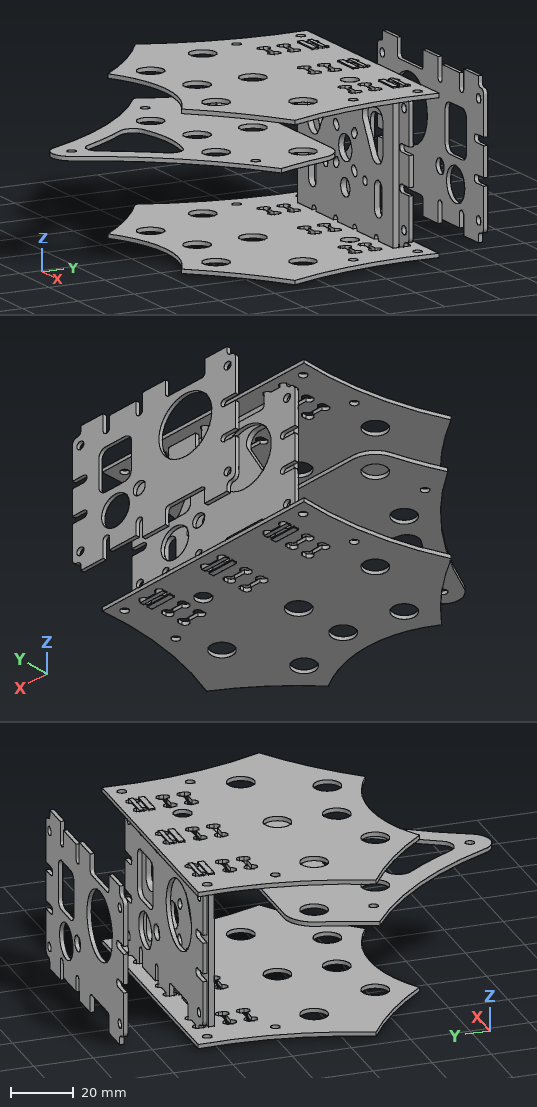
import cadquery as cq
import math


sheet = 1.5
motor_sheet = 2.0
tab_height_half = 27.4
deck_top = 27.0
deck_bottom = deck_top - sheet
screw_d = 3.0
big_hole_d = 9.0

deck_rear_half = 45.29
deck_corner = (54.88, -56.6)
deck_nose_half = 25.4
deck_front_y = -74.3
edge_radius = 130.2
deck_side_radius = 123.3
tip_radius = 7.0
overall_length = 137.0
rear_panel_back_y = 22.0
tip_center = (0, rear_panel_back_y - overall_length + tip_radius)
mid_top = 10.5
mid_corner_x = 50.7
mid_rear_radius = 10.1
window_rim = 7.1
window_rear_radius = 47.3
window_rear_fillet = 4.5
window_front_fillet = 4.5

rear_hole_x = 34.4
rear_hole_y = -43.0
big_holes = [(x, rear_hole_y) for x in (-rear_hole_x, 0, rear_hole_x)]
big_holes += [(0, -63.0), (-22.5, -68.0), (22.5, -68.0)]
deck_screws = [(x, y) for x in (-40.0, 40.0) for y in (-5.0, -28.0)]
cable_hole = (16.92, -17.1)
cable_hole_d = 6.0
mid_screws = [tip_center, (-38.0, -61.8), (38.0, -61.8)]

panel_y = -5.41
motor_y = -8.9
rear_panel_y = rear_panel_back_y - sheet / 2
dogbone_rows = (panel_y, -15.6, -22.7)
tab_outer = 32.9
outer_tab = 10.1
center_tab = 10.4
outer_tab_x = tab_outer - outer_tab / 2
tabs = [(-outer_tab_x, outer_tab), (0, center_tab), (outer_tab_x, outer_tab)]
relief_length = 4.4
relief_d = 2.7

panel_half = 36.6
panel_shoulder = 23.8
cutout_fillet = 1.4
shoulder_fillet = 1.5
corner_round = 2.0
relief_floor = 19.3
cutout_floor = 20.7
side_slot_z = 6.65
side_slot = 2.7
side_slot_depth = panel_half - 30.1
panel_screw = (33.0, 20.0)
round_window = (-14.1, 6.2)
round_window_d = 23.7
square_window = (10.1, -2.7, 24.7, 14.3)
square_window_fillet = 3.0
panel_port = (17.3, -11.8)
panel_port_d = 12.3
panel_hole = (6.6, -8.2)
panel_hole_d = 5.3

motor_relief_floor = 23.7
bolt_circle = 15.6
motor_slot_radius = 8.8
motor_slot_travel = 1.0
wire_hole_z = -13.0
wire_hole_d = 6.3
side_opening_x = 22.6
side_opening_z = -11.8
side_opening = (12.3, 5.1)
window_outer_x = 25.83
window_inner_x = 8.56
window_top = 18.0
window_bottom = -11.4
motor_window_fillet = 4.1


def circle_meet(center_a, radius_a, center_b, radius_b):
    """The point where two circles meet that lies to the left of the way from center a to b."""
    dx = center_b[0] - center_a[0]
    dy = center_b[1] - center_a[1]
    gap = math.hypot(dx, dy)
    along = (gap**2 + radius_a**2 - radius_b**2) / (2 * gap)
    aside = math.sqrt(radius_a**2 - along**2)
    x = center_a[0] + (along * dx - aside * dy) / gap
    y = center_a[1] + (along * dy + aside * dx) / gap
    return x, y


def toward(start, end, distance):
    """The point at a distance from start on the way to end."""
    ratio = distance / math.dist(start, end)
    return start[0] + (end[0] - start[0]) * ratio, start[1] + (end[1] - start[1]) * ratio


def arc_middle(center, radius, start, end):
    """A point between start and end on the short arc about the center."""
    chord_middle = ((start[0] + end[0]) / 2, (start[1] + end[1]) / 2)
    return toward(center, chord_middle, radius)


def mirrored(point):
    return -point[0], point[1]


def drill(plate, places, diameter):
    """Round holes through a plate that lies in the XY plane."""
    return plate.cut(cq.Workplane("XY").pushPoints(places).circle(diameter / 2).extrude(sheet))


edge_center = circle_meet(deck_corner, edge_radius, tip_center, edge_radius + tip_radius)


def front_edge_y(x, inset=0):
    """Y of the front edge at x, or of a curve set in from it."""
    return edge_center[1] + math.sqrt((edge_radius + inset) ** 2 - (x - edge_center[0]) ** 2)


deck_nose = (deck_nose_half, front_edge_y(deck_nose_half))
nose_rise = deck_front_y - deck_nose[1]
nose_radius = (deck_nose_half**2 + nose_rise**2) / (2 * nose_rise)
nose_center = (0, deck_front_y - nose_radius)


def tab_slots(deck):
    """Cuts the dogbone slots and the plain slots for the tabs of the upright plates."""
    for x, length in tabs:
        for y in dogbone_rows:
            slot = cq.Workplane("XY").center(x, y).rect(length, sheet).extrude(sheet)
            relief_x = (length - screw_d) / 2
            reliefs = (
                cq.Workplane("XY")
                .center(x, y)
                .pushPoints([(-relief_x, 0), (relief_x, 0)])
                .slot2D(relief_length, screw_d, 90)
                .extrude(sheet)
            )
            deck = deck.cut(slot).cut(reliefs)
        deck = deck.cut(cq.Workplane("XY").center(x, motor_y).rect(length, motor_sheet).extrude(sheet))
    return deck


def make_deck(bottom):
    rear = (deck_rear_half, 0)
    side_center = circle_meet(rear, deck_side_radius, deck_corner, deck_side_radius)
    side_middle = arc_middle(side_center, deck_side_radius, rear, deck_corner)
    front_middle = arc_middle(edge_center, edge_radius, deck_corner, deck_nose)
    deck = (
        cq.Workplane("XY")
        .moveTo(*mirrored(rear))
        .lineTo(*rear)
        .threePointArc(side_middle, deck_corner)
        .threePointArc(front_middle, deck_nose)
        .threePointArc((0, deck_front_y), mirrored(deck_nose))
        .threePointArc(mirrored(front_middle), mirrored(deck_corner))
        .threePointArc(mirrored(side_middle), mirrored(rear))
        .close()
        .extrude(sheet)
    )
    deck = drill(deck, big_holes, big_hole_d)
    deck = drill(deck, deck_screws, screw_d)
    deck = drill(deck, [cable_hole], cable_hole_d)
    return tab_slots(deck).translate((0, 0, bottom))


def tip_window():
    """The window, set in from the front edges by the rim and rounded at its corners."""
    side_radius = edge_radius + window_rim
    rear = circle_meet(nose_center, window_rear_radius, edge_center, side_radius)
    front = (0, front_edge_y(0, window_rim))
    side_middle = arc_middle(edge_center, side_radius, rear, front)
    window = (
        cq.Workplane("XY")
        .moveTo(*front)
        .threePointArc(side_middle, rear)
        .threePointArc((0, nose_center[1] + window_rear_radius), mirrored(rear))
        .threePointArc(mirrored(side_middle), front)
        .close()
        .extrude(sheet)
    )
    window = window.edges("|Z and (<X or >X)").fillet(window_rear_fillet)
    return window.edges("|Z").edges("<Y").fillet(window_front_fillet)


def make_middle_plate():
    corner = (mid_corner_x, front_edge_y(mid_corner_x))
    round_center = (rear_hole_x, rear_hole_y)
    rear = (rear_hole_x, rear_hole_y + mid_rear_radius)
    side_center = circle_meet(round_center, edge_radius + mid_rear_radius, corner, edge_radius)
    round_end = toward(round_center, side_center, mid_rear_radius)
    round_middle = arc_middle(round_center, mid_rear_radius, rear, round_end)
    side_middle = arc_middle(side_center, edge_radius, round_end, corner)
    tip_start = toward(tip_center, edge_center, tip_radius)
    front_middle = arc_middle(edge_center, edge_radius, corner, tip_start)
    plate = (
        cq.Workplane("XY")
        .moveTo(*mirrored(rear))
        .lineTo(*rear)
        .threePointArc(round_middle, round_end)
        .threePointArc(side_middle, corner)
        .threePointArc(front_middle, tip_start)
        .threePointArc((0, tip_center[1] - tip_radius), mirrored(tip_start))
        .threePointArc(mirrored(front_middle), mirrored(corner))
        .threePointArc(mirrored(side_middle), mirrored(round_end))
        .threePointArc(mirrored(round_middle), mirrored(rear))
        .close()
        .extrude(sheet)
    )
    plate = plate.cut(tip_window())
    plate = drill(plate, big_holes, big_hole_d)
    plate = drill(plate, mid_screws, screw_d)
    return plate.translate((0, 0, mid_top - sheet))


def upright_block(x_low, z_low, x_high, z_high, thickness):
    """A flat block between two opposite corners."""
    return (
        cq.Workplane("XZ")
        .center((x_low + x_high) / 2, (z_low + z_high) / 2)
        .rect(x_high - x_low, z_high - z_low)
        .extrude(thickness / 2, both=True)
    )


def upright_drill(plate, places, diameter):
    """Round holes through an upright plate."""
    return plate.cut(cq.Workplane("XZ").pushPoints(places).circle(diameter / 2).extrude(sheet, both=True))


def add_tabs(plate, thickness):
    """Adds the tabs that pass through the decks."""
    for x, length in tabs:
        tab = upright_block(x - length / 2, -tab_height_half, x + length / 2, tab_height_half, thickness)
        plate = plate.union(tab)
    return plate


def cut_reliefs(plate, places, floor):
    """Round-ended slots cut down from the top edge and up from the bottom edge."""
    length = 2 * (tab_height_half - floor)
    for x in places:
        for side in (-1, 1):
            slot = (
                cq.Workplane("XZ")
                .center(x, side * tab_height_half)
                .slot2D(length, relief_d, 90)
                .extrude(sheet, both=True)
            )
            plate = plate.cut(slot)
    return plate


center_relief_x = (center_tab + relief_d) / 2
outer_relief_x = tab_outer - outer_tab - relief_d / 2


def panel_outline():
    """The side panel's edge: tabs, rounded shoulders and the deep cuts beside one outer tab."""
    panel = upright_block(-panel_half, -panel_shoulder, panel_half, panel_shoulder, sheet)
    panel = panel.edges("|Y").fillet(corner_round)
    panel = panel.union(upright_block(-tab_outer, -deck_bottom, tab_outer, deck_bottom, sheet))
    panel = add_tabs(panel, sheet)
    reach = 0.1
    for x in (-tab_outer, tab_outer):
        for z in (-panel_shoulder, panel_shoulder):
            corner = cq.selectors.BoxSelector((x - reach, -sheet, z - reach), (x + reach, sheet, z + reach))
            panel = panel.edges("|Y").edges(corner).fillet(shoulder_fillet)
    cut_low_x = -tab_outer + outer_tab
    cut_high_x = -center_tab / 2
    for low, floor_face in ((cutout_floor, "<Z"), (-tab_height_half, ">Z")):
        high = low + tab_height_half - cutout_floor
        cut = upright_block(cut_low_x, low, cut_high_x, high, sheet)
        panel = panel.cut(cut.faces(floor_face).edges("|Y").fillet(cutout_fillet))
    return panel


def make_panel(y):
    panel = cut_reliefs(panel_outline(), [center_relief_x, outer_relief_x], relief_floor)
    for side in (-1, 1):
        for z in (-side_slot_z, side_slot_z):
            slot = (
                cq.Workplane("XZ")
                .center(side * panel_half, z)
                .slot2D(2 * side_slot_depth, side_slot)
                .extrude(sheet, both=True)
            )
            panel = panel.cut(slot)
    screw_x, screw_z = panel_screw
    panel = upright_drill(panel, [(x, z) for x in (-screw_x, screw_x) for z in (-screw_z, screw_z)], screw_d)
    panel = upright_drill(panel, [round_window], round_window_d)
    panel = upright_drill(panel, [panel_port], panel_port_d)
    panel = upright_drill(panel, [panel_hole], panel_hole_d)
    window = upright_block(*square_window, sheet).edges("|Y").fillet(square_window_fillet)
    return panel.cut(window).translate((0, y, 0))


def motor_windows(plate):
    """Two rounded three-sided windows, mirror images of each other."""
    for side in (-1, 1):
        window = (
            cq.Workplane("XZ")
            .moveTo(side * window_outer_x, window_bottom)
            .lineTo(side * window_outer_x, window_top)
            .lineTo(side * window_inner_x, window_top)
            .close()
            .extrude(motor_sheet, both=True)
            .edges("|Y")
            .fillet(motor_window_fillet)
        )
        plate = plate.cut(window)
    return plate


def make_motor_plate():
    plate = upright_block(-tab_outer, -deck_bottom, tab_outer, deck_bottom, motor_sheet)
    plate = add_tabs(plate, motor_sheet)
    reliefs = [side * x for side in (-1, 1) for x in (center_relief_x, outer_relief_x)]
    plate = cut_reliefs(plate, reliefs, motor_relief_floor)
    plate = motor_windows(plate)
    plate = upright_drill(plate, [(0, 0)], big_hole_d)
    plate = upright_drill(plate, [(0, wire_hole_z)], wire_hole_d)
    for angle in (90, 210, 330):
        turn = math.radians(angle)
        plate = upright_drill(plate, [(bolt_circle * math.cos(turn), bolt_circle * math.sin(turn))], screw_d)
    for angle in (45, 135, 225, 315):
        slot = (
            cq.Workplane("XZ")
            .center(motor_slot_radius, 0)
            .slot2D(screw_d + motor_slot_travel, screw_d)
            .extrude(motor_sheet, both=True)
            .rotate((0, 0, 0), (0, 1, 0), angle)
        )
        plate = plate.cut(slot)
    openings = (
        cq.Workplane("XZ")
        .pushPoints([(-side_opening_x, side_opening_z), (side_opening_x, side_opening_z)])
        .slot2D(*side_opening, 90)
        .extrude(motor_sheet, both=True)
    )
    return plate.cut(openings).translate((0, motor_y, 0))


decks = [make_deck(bottom) for bottom in (-deck_top, deck_bottom)]
middle_plate = make_middle_plate()
panels = [make_panel(y) for y in (panel_y, rear_panel_y)]
motor_plate = make_motor_plate()

flat_plates = [deck.val() for deck in decks] + [middle_plate.val()]
upright_plates = [panel.val() for panel in panels] + [motor_plate.val()]
result = cq.Compound.makeCompound(flat_plates + upright_plates)